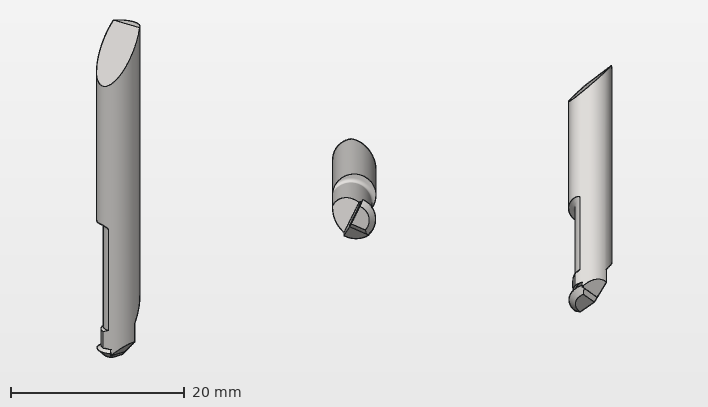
import cadquery as cq
import math

length = 39.5
shank_radius = 2.51
margin = 3.95

top_flat_y = 1.35
slant_angle = math.radians(30)

neck_offset = 0.9
neck_radius = 2.39
shoulder_z = 16.08
shoulder_fillet = 0.47

collar_radius = 2.65
collar_top_z = 3.25
collar_step = collar_radius - neck_radius
collar_under_z = 1.65
collar_under_slope = 0.17

rake_left_y = 0.0
rake_right_y = 0.2
rake_top_z = 4.1

corner_z = 1.95

seat_z = 1.22
tip_end_x = 1.03
tip_offset = 0.05
tip_edge_radius = 2.5
tip_edge_z = 0.7
tip_bottom_radius = 1.75
tip_top_radius = 1.7


def revolve_about(profile, axis_x):
    """Turn an (r, z) profile about a vertical line at the given X."""
    return profile.close().revolve(360, (0, 0, 0), (0, 1, 0)).translate((axis_x, 0, 0))


def make_top_slant():
    run = shank_radius + margin + top_flat_y
    return (
        cq.Workplane("YZ")
        .moveTo(top_flat_y, length)
        .lineTo(top_flat_y - run, length - run / math.tan(slant_angle))
        .lineTo(top_flat_y - run, length)
        .close()
        .extrude(margin, both=True)
    )


def make_rake_cut():
    """Material removed above the tilted rake face and its slanted run-out."""
    end = shank_radius + margin
    face_clearance = (
        cq.Workplane("XY")
        .moveTo(-shank_radius, rake_left_y)
        .lineTo(shank_radius, rake_right_y)
        .lineTo(shank_radius, end)
        .lineTo(-shank_radius, end)
        .close()
        .extrude(length)
    )
    run = end - rake_left_y
    run_out_z = rake_top_z - (rake_right_y - rake_left_y) / math.tan(slant_angle)
    slant_clearance = (
        cq.Workplane("YZ")
        .moveTo(rake_left_y, 0)
        .lineTo(rake_left_y, run_out_z)
        .lineTo(end, run_out_z + run / math.tan(slant_angle))
        .lineTo(end, 0)
        .close()
        .extrude(margin, both=True)
    )
    return face_clearance.intersect(slant_clearance)


def make_corner_cut():
    return (
        cq.Workplane("XZ")
        .moveTo(shank_radius - corner_z, 0)
        .lineTo(shank_radius + margin, corner_z + margin)
        .lineTo(shank_radius + margin, 0)
        .close()
        .extrude(margin, both=True)
    )


def make_neck_envelope():
    """Neck cylinder that flares through a fillet into the full shank."""
    wide = shank_radius + margin
    fillet_start_z = shoulder_z - shoulder_fillet
    arc_radial = neck_radius + shoulder_fillet * (1 - math.sqrt(0.5))
    arc_z = fillet_start_z + shoulder_fillet * math.sqrt(0.5)
    profile = (
        cq.Workplane("XZ")
        .lineTo(neck_radius, 0)
        .lineTo(neck_radius, fillet_start_z)
        .threePointArc((arc_radial, arc_z), (neck_radius + shoulder_fillet, shoulder_z))
        .lineTo(wide, shoulder_z)
        .lineTo(wide, length)
        .lineTo(0, length)
    )
    return revolve_about(profile, neck_offset)


def make_collar():
    """Raised band with a beveled top and an underside that falls toward -Y."""
    profile = (
        cq.Workplane("XZ")
        .lineTo(collar_radius, 0)
        .lineTo(collar_radius, collar_top_z)
        .lineTo(neck_radius, collar_top_z + collar_step)
        .lineTo(0, collar_top_z + collar_step)
    )
    drop = margin * collar_under_slope
    under_cut = (
        cq.Workplane("YZ")
        .moveTo(-margin, 0)
        .lineTo(margin, 0)
        .lineTo(margin, collar_under_z + drop)
        .lineTo(-margin, collar_under_z - drop)
        .close()
        .extrude(2 * margin, both=True)
    )
    return revolve_about(profile, neck_offset).cut(under_cut)


def make_tip_seat():
    """Block of space at the lower end that the cutting tip fills."""
    return (
        cq.Workplane("XY")
        .box(2 * margin, 2 * margin, seat_z, centered=(False, True, False))
        .translate((tip_end_x - 2 * margin, 0, 0))
    )


def make_bar():
    envelope = make_neck_envelope().union(make_collar())
    return (
        cq.Workplane("XY")
        .circle(shank_radius)
        .extrude(length)
        .intersect(envelope)
        .cut(make_top_slant())
        .cut(make_rake_cut())
        .cut(make_corner_cut())
        .cut(make_tip_seat())
    )


def make_cutting_tip():
    """V-edged cutting disc, trimmed to the seat, rake face and corner."""
    profile = (
        cq.Workplane("XZ")
        .lineTo(tip_bottom_radius, 0)
        .lineTo(tip_edge_radius, tip_edge_z)
        .lineTo(tip_top_radius, seat_z)
        .lineTo(0, seat_z)
    )
    return (
        revolve_about(profile, tip_offset)
        .intersect(make_tip_seat())
        .cut(make_rake_cut())
        .cut(make_corner_cut())
    )


bar = make_bar()
cutting_tip = make_cutting_tip()
result = cq.Compound.makeCompound([bar.val(), cutting_tip.val()])